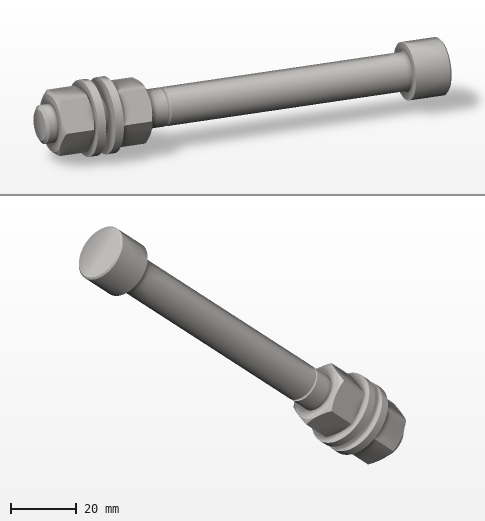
import cadquery as cq
import math

total_length = 132.0
shank_diameter = 12.0
head_diameter = 18.0
head_length = 11.9
head_chamfer = 0.5
head_fillet = 0.5
tip_chamfer_length = 0.8
tip_chamfer_depth = 1.2

groove_distance_from_tip = 40.0
groove_width = 0.9
groove_depth = 1.2

nut_across_flats = 18.0
nut_height = 10.7
nut_face_diameter = 17.8
nut_chamfer_angle = 30.0
washer_diameter = 23.6
washer_thickness = 2.6
washer_gap = 3.2
tip_projection = 3.7

shank_radius = shank_diameter / 2
head_radius = head_diameter / 2
nut_across_corners = nut_across_flats / math.cos(math.radians(30))
tip_y = head_length - total_length

outer_nut_y = tip_y + tip_projection
outer_washer_y = outer_nut_y + nut_height
inner_washer_y = outer_washer_y + washer_thickness + washer_gap
inner_nut_y = inner_washer_y + washer_thickness


def make_bolt():
    """Cylindrical-head bolt revolved about Y."""
    groove_y = tip_y + groove_distance_from_tip
    fillet_bend = head_fillet * (1 - math.sqrt(0.5))
    profile = (
        cq.Workplane("XY")
        .moveTo(0, tip_y)
        .lineTo(shank_radius - tip_chamfer_depth, tip_y)
        .lineTo(shank_radius, tip_y + tip_chamfer_length)
        .lineTo(shank_radius, groove_y)
        .lineTo(shank_radius - groove_depth, groove_y)
        .lineTo(shank_radius, groove_y + groove_width)
        .lineTo(shank_radius, -head_fillet)
        .threePointArc(
            (shank_radius + fillet_bend, -fillet_bend),
            (shank_radius + head_fillet, 0),
        )
        .lineTo(head_radius, 0)
        .lineTo(head_radius, head_length - head_chamfer)
        .lineTo(head_radius - head_chamfer, head_length)
        .lineTo(0, head_length)
        .close()
    )
    return profile.revolve(360, (0, 0, 0), (0, 1, 0))


def cylinder_along_y(diameter, start_y, length):
    """Cylinder on the Y axis running from start_y towards +Y."""
    return cq.Workplane("XZ", origin=(0, start_y, 0)).circle(diameter / 2).extrude(-length)


def make_nut(start_y):
    """Hexagon nut with corners on the X axis and both faces chamfered."""
    hexagon = (
        cq.Workplane("XZ", origin=(0, start_y, 0))
        .polygon(6, nut_across_corners)
        .extrude(-nut_height)
    )
    chamfer_depth = (nut_across_corners - nut_face_diameter) / 2
    chamfer_height = chamfer_depth * math.tan(math.radians(nut_chamfer_angle))
    end_y = start_y + nut_height
    corner_radius = nut_across_corners / 2
    face_radius = nut_face_diameter / 2
    chamfer_envelope = (
        cq.Workplane("XY")
        .moveTo(0, start_y)
        .lineTo(face_radius, start_y)
        .lineTo(corner_radius, start_y + chamfer_height)
        .lineTo(corner_radius, end_y - chamfer_height)
        .lineTo(face_radius, end_y)
        .lineTo(0, end_y)
        .close()
        .revolve(360, (0, 0, 0), (0, 1, 0))
    )
    bore = cylinder_along_y(shank_diameter, start_y, nut_height)
    return hexagon.intersect(chamfer_envelope).cut(bore)


def make_washer(start_y):
    """Flat washer fitting closely around the shank."""
    bore = cylinder_along_y(shank_diameter, start_y, washer_thickness)
    return cylinder_along_y(washer_diameter, start_y, washer_thickness).cut(bore)


bolt = make_bolt()
nuts = [make_nut(start_y) for start_y in (outer_nut_y, inner_nut_y)]
washers = [make_washer(start_y) for start_y in (outer_washer_y, inner_washer_y)]

result = cq.Compound.makeCompound(
    [bolt.val()]
    + [nut.val() for nut in nuts]
    + [washer.val() for washer in washers]
)